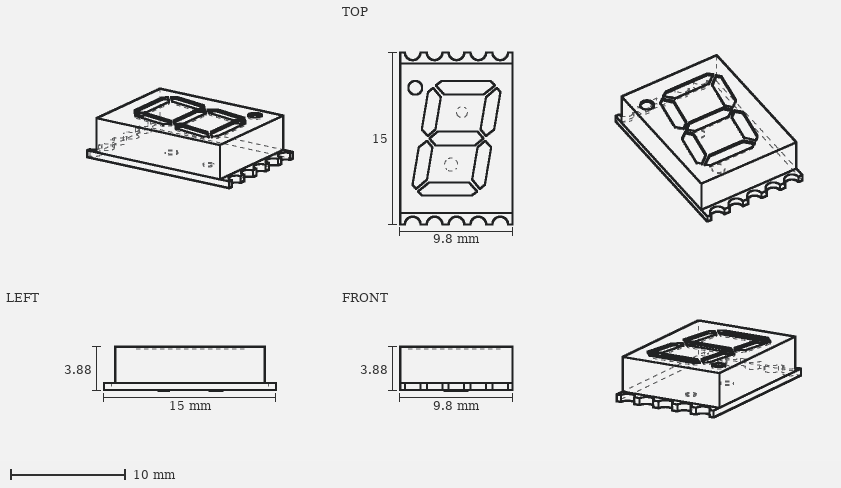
import cadquery as cq

WIDTH = 9.8
BOARD_LENGTH = 15.0
BOARD_THICKNESS = 0.63
NOTCH_RADIUS = 0.68
NOTCH_PITCH = 1.9
NOTCHES_PER_END = 5

OVERALL_HEIGHT = 3.88
MARK_THICKNESS = 0.1
FRONT_MARK = (1.14, -0.46, -2.28)
REAR_MARK = (0.95, 0.48, 2.28)

HOUSING_LENGTH = 13.02
HOUSING_HEIGHT = OVERALL_HEIGHT - MARK_THICKNESS - BOARD_THICKNESS
HOUSING_TOP = BOARD_THICKNESS + HOUSING_HEIGHT

RECESS_DEPTH = 0.2
DOT_RADIUS = 0.6
DOT_X = -3.58
DOT_Y = 4.41

SLANT = 0.168
BAR_INNER_HALF = 1.72
END_BAR_OUTER_HALF = 2.15
END_BAR_TIP_HALF = 2.58
END_BAR_INNER_Y = 3.82
END_BAR_TIP_Y = 4.62
END_BAR_OUTER_Y = 4.98
MIDDLE_BAR_TIP_HALF = 2.35
MIDDLE_BAR_HALF_HEIGHT = 0.6
SIDE_INNER_X = 1.96
SIDE_OUTER_X = 3.15
SIDE_LOW_TIP = (2.54, 0.21)
SIDE_HIGH_TIP = (2.78, 4.4)
SIDE_LOW_SHOULDER_Y = 0.78
SIDE_INNER_SHOULDER_Y = 3.58
SIDE_OUTER_SHOULDER_Y = 4.04

END_BAR = [
    (-END_BAR_OUTER_HALF, END_BAR_OUTER_Y),
    (END_BAR_OUTER_HALF, END_BAR_OUTER_Y),
    (END_BAR_TIP_HALF, END_BAR_TIP_Y),
    (BAR_INNER_HALF, END_BAR_INNER_Y),
    (-BAR_INNER_HALF, END_BAR_INNER_Y),
    (-END_BAR_TIP_HALF, END_BAR_TIP_Y),
]
MIDDLE_BAR = [
    (-BAR_INNER_HALF, MIDDLE_BAR_HALF_HEIGHT),
    (BAR_INNER_HALF, MIDDLE_BAR_HALF_HEIGHT),
    (MIDDLE_BAR_TIP_HALF, 0),
    (BAR_INNER_HALF, -MIDDLE_BAR_HALF_HEIGHT),
    (-BAR_INNER_HALF, -MIDDLE_BAR_HALF_HEIGHT),
    (-MIDDLE_BAR_TIP_HALF, 0),
]
SIDE_BAR = [
    SIDE_HIGH_TIP,
    (SIDE_OUTER_X, SIDE_OUTER_SHOULDER_Y),
    (SIDE_OUTER_X, SIDE_LOW_SHOULDER_Y),
    SIDE_LOW_TIP,
    (SIDE_INNER_X, SIDE_LOW_SHOULDER_Y),
    (SIDE_INNER_X, SIDE_INNER_SHOULDER_Y),
]


def make_mark(diameter, x, y):
    """Thin disc hanging from the underside of the board."""
    return cq.Workplane("XY").center(x, y).circle(diameter / 2).extrude(-MARK_THICKNESS)


def make_board():
    """Board with a row of half-round notches along each end and its raised marks."""
    board = cq.Workplane("XY").box(WIDTH, BOARD_LENGTH, BOARD_THICKNESS, centered=(True, True, False))
    notches = (
        cq.Workplane("XY")
        .rarray(NOTCH_PITCH, BOARD_LENGTH, NOTCHES_PER_END, 2)
        .circle(NOTCH_RADIUS)
        .extrude(BOARD_THICKNESS)
    )
    board = board.cut(notches)
    for mark in (FRONT_MARK, REAR_MARK):
        board = board.union(make_mark(*mark))
    return board


def segment_cutter(outline, x_sign=1, y_sign=1):
    """Recess cutter for one segment, mirrored by the signs and then slanted."""
    mirrored = [(x_sign * x, y_sign * y) for x, y in outline]
    slanted = [(x + SLANT * y, y) for x, y in mirrored]
    return (
        cq.Workplane("XY")
        .workplane(offset=HOUSING_TOP)
        .polyline(slanted)
        .close()
        .extrude(-RECESS_DEPTH)
    )


def make_housing():
    """Block with the recessed figure and a round recess beside it."""
    housing = (
        cq.Workplane("XY")
        .workplane(offset=BOARD_THICKNESS)
        .box(WIDTH, HOUSING_LENGTH, HOUSING_HEIGHT, centered=(True, True, False))
    )
    housing = housing.cut(segment_cutter(MIDDLE_BAR))
    for y_sign in (-1, 1):
        housing = housing.cut(segment_cutter(END_BAR, y_sign=y_sign))
        for x_sign in (-1, 1):
            housing = housing.cut(segment_cutter(SIDE_BAR, x_sign, y_sign))
    dot = (
        cq.Workplane("XY")
        .workplane(offset=HOUSING_TOP)
        .center(DOT_X, DOT_Y)
        .circle(DOT_RADIUS)
        .extrude(-RECESS_DEPTH)
    )
    return housing.cut(dot)


board = make_board()
housing = make_housing()
result = cq.Compound.makeCompound([board.val(), housing.val()])